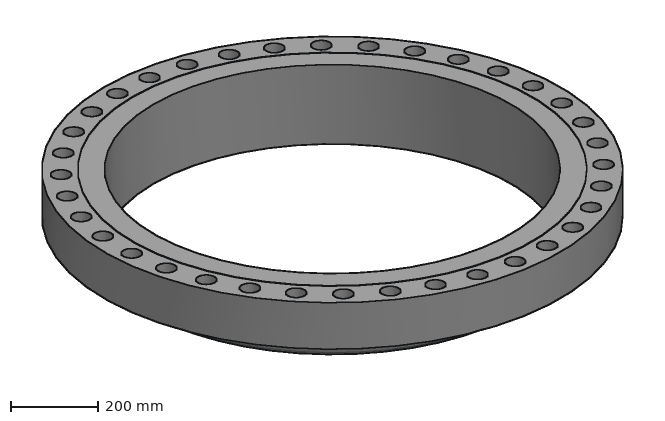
import cadquery as cq

flange_radius = 667.0
bore_radius = 523.0
total_height = 205.0
hub_height = 84.0

face_radius = 584.0
face_height = 1.0
flange_top = total_height - face_height

hub_root_radius = 559.0
hub_end_radius = 539.0
root_fillet = 8.0
end_fillet = 15.0

bolt_count = 36
bolt_circle_radius = 623.0
bolt_hole_diameter = 48.0


def make_body():
    """Revolve the half section of the flange, its raised face and its hub about Z."""
    section = [
        (bore_radius, 0),
        (hub_end_radius, 0),
        (hub_root_radius, hub_height),
        (flange_radius, hub_height),
        (flange_radius, flange_top),
        (face_radius, flange_top),
        (face_radius, total_height),
        (bore_radius, total_height),
    ]
    return cq.Workplane("XZ").polyline(section).close().revolve(360, (0, 0, 0), (0, 1, 0))


def round_hub(body):
    """Round the hub's root against the flange and the outer edge of its free end."""
    body = body.edges(cq.selectors.RadiusNthSelector(2)).fillet(root_fillet)
    outer_edge = cq.selectors.RadiusNthSelector(-1)
    return body.faces("<Z").edges(outer_edge).fillet(end_fillet)


def make_bolt_holes():
    """Cylinders through the full height, one on the X axis and the rest evenly spaced."""
    return (
        cq.Workplane("XY")
        .polarArray(bolt_circle_radius, 0, 360, bolt_count)
        .circle(bolt_hole_diameter / 2)
        .extrude(total_height)
    )


result = round_hub(make_body()).cut(make_bolt_holes())